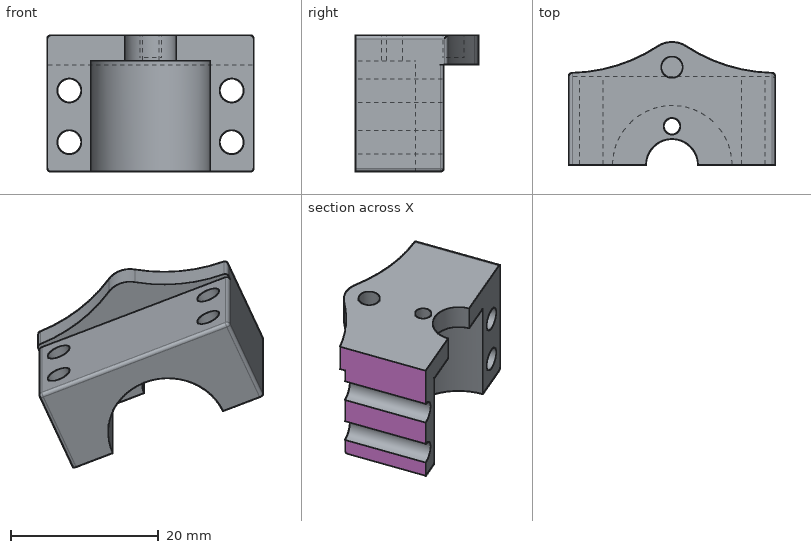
import cadquery as cq
import math

width = 28.0
height = 18.5
body_depth = 12.0
edge_radius = 0.5

flange_thickness = 4.0
flange_bottom = height - flange_thickness
shoulder_depth = 12.5
nose_radius = 3.5
flank_radius = 22.0

seat_diameter = 16.2
seat_height = 15.0
neck_diameter = 7.0

pin_hole_diameter = 2.9
pin_hole_depth = 3.0
pin_hole_y = 13.25
vent_diameter = 2.2
vent_y = 5.25
screw_diameter = 3.2
screw_spacing_x = 22.0
screw_heights = (4.0, 11.0)

half_width = width / 2
flank_centre_y = shoulder_depth + flank_radius
nose_y = flank_centre_y - math.sqrt((flank_radius + nose_radius) ** 2 - half_width**2)
flank_sweep = math.asin(half_width / (flank_radius + nose_radius))


def flank_point(angle, side):
    """Point on a flank arc at an angle from its outer corner; side is -1 or 1."""
    x = side * (half_width - flank_radius * math.sin(angle))
    y = flank_centre_y - flank_radius * math.cos(angle)
    return (x, y)


def upright_cylinder(diameter, y, bottom, top):
    """Cylinder along Z on the plane of symmetry."""
    base = cq.Workplane("XY", origin=(0, y, bottom))
    return base.circle(diameter / 2).extrude(top - bottom)


def make_body():
    """Block with its four Y edges and all its back edges below the flange rounded."""
    block = cq.Workplane("XY").box(width, body_depth, height, centered=(True, False, False))
    back_edges = block.faces(">Y").edges("not >Z")
    return back_edges.add(block.edges("|Y")).fillet(edge_radius)


def make_flange():
    """Nosed plate whose upper side edges are rounded like those of the block."""
    plate = (
        cq.Workplane("XY", origin=(0, 0, flange_bottom))
        .moveTo(-half_width, 0)
        .lineTo(half_width, 0)
        .lineTo(half_width, shoulder_depth)
        .threePointArc(flank_point(flank_sweep / 2, 1), flank_point(flank_sweep, 1))
        .threePointArc((0, nose_y + nose_radius), flank_point(flank_sweep, -1))
        .threePointArc(flank_point(flank_sweep / 2, -1), (-half_width, shoulder_depth))
        .close()
        .extrude(flange_thickness)
    )
    corners = plate.edges("|Z").edges("<X or >X").edges(">Y")
    plate = corners.fillet(edge_radius)
    envelope = cq.Workplane("XY").box(width, width, height, centered=(True, False, False))
    return plate.intersect(envelope.edges("|Y").fillet(edge_radius))


def cut_seat(part):
    """Cut the seat and the neck, both centred on the front face."""
    part = part.cut(upright_cylinder(seat_diameter, 0, 0, seat_height))
    return part.cut(upright_cylinder(neck_diameter, 0, seat_height, height))


def cut_holes(part):
    """Cut the blind pin hole, the vent into the seat and the four screw holes."""
    part = part.cut(upright_cylinder(pin_hole_diameter, pin_hole_y, height - pin_hole_depth, height))
    part = part.cut(upright_cylinder(vent_diameter, vent_y, seat_height, height))
    for z in screw_heights:
        for x in (-screw_spacing_x / 2, screw_spacing_x / 2):
            screw_axis = cq.Workplane("XZ", origin=(x, 0, z))
            part = part.cut(screw_axis.circle(screw_diameter / 2).extrude(-body_depth))
    return part


result = cut_holes(cut_seat(make_body().union(make_flange())))